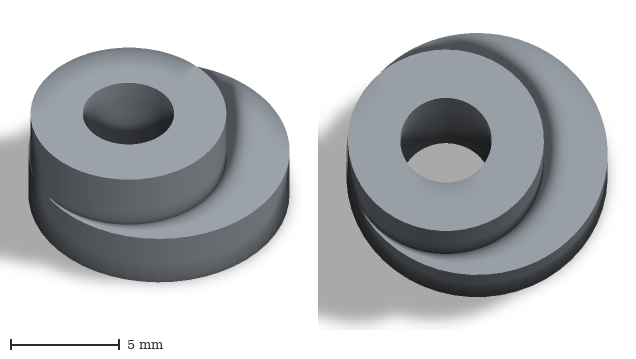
import cadquery as cq

flange_diameter = 12.0
boss_diameter = 9.0
bore_diameter = 4.2
total_height = 5.5
flange_height = 2.7

boss_offset = (flange_diameter - boss_diameter) / 2
boss_height = total_height - flange_height

flange = cq.Workplane("XY").circle(flange_diameter / 2).extrude(flange_height)

boss = (
    cq.Workplane("XY", origin=(0, -boss_offset, flange_height))
    .circle(boss_diameter / 2)
    .extrude(boss_height)
)

bore = (
    cq.Workplane("XY", origin=(0, -boss_offset, 0))
    .circle(bore_diameter / 2)
    .extrude(total_height)
)

result = flange.union(boss).cut(bore)